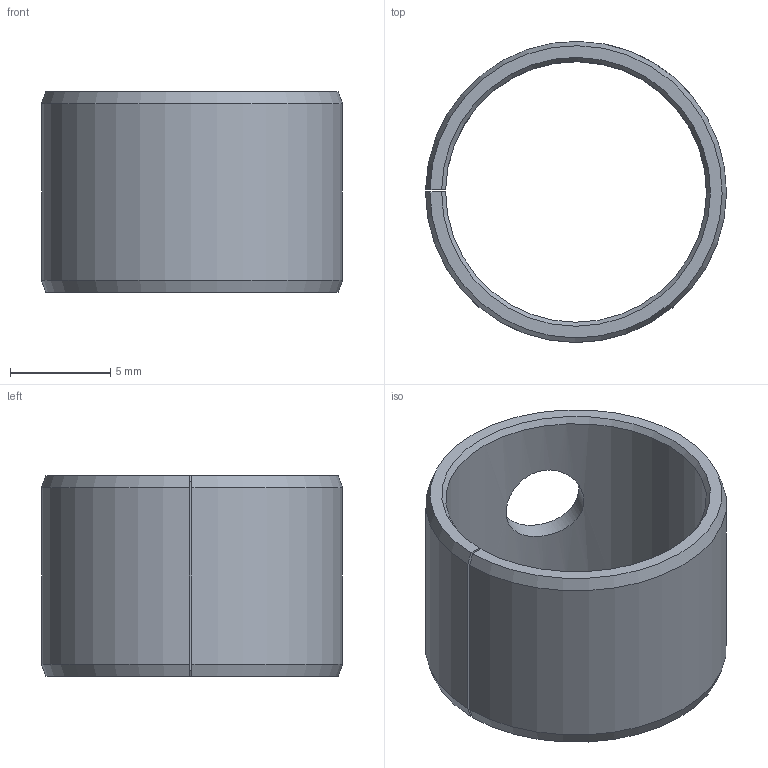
import cadquery as cq
import math

OUTER_DIAMETER = 15.0
INNER_DIAMETER = 13.0
LENGTH = 10.0
OUTER_CHAMFER_LENGTH = 0.6
OUTER_CHAMFER_ANGLE = 20.0
INNER_CHAMFER_LENGTH = 0.3
INNER_CHAMFER_DEPTH = 0.2
SPLIT_ANGLE = 1.0
OIL_HOLE_DIAMETER = 4.0
OIL_HOLE_FROM_SPLIT = 120.0

outer_radius = OUTER_DIAMETER / 2
inner_radius = INNER_DIAMETER / 2
half_length = LENGTH / 2
outer_chamfer_depth = OUTER_CHAMFER_LENGTH * math.tan(math.radians(OUTER_CHAMFER_ANGLE))

split_start_direction = 180.0
split_middle_direction = split_start_direction - SPLIT_ANGLE / 2
oil_hole_direction = split_middle_direction - OIL_HOLE_FROM_SPLIT


def make_sleeve():
    """Chamfered wall section swept about Z, stopping short of a full turn to leave the joint open."""
    wall_section = [
        (inner_radius, -half_length + INNER_CHAMFER_LENGTH),
        (inner_radius + INNER_CHAMFER_DEPTH, -half_length),
        (outer_radius - outer_chamfer_depth, -half_length),
        (outer_radius, -half_length + OUTER_CHAMFER_LENGTH),
        (outer_radius, half_length - OUTER_CHAMFER_LENGTH),
        (outer_radius - outer_chamfer_depth, half_length),
        (inner_radius + INNER_CHAMFER_DEPTH, half_length),
        (inner_radius, half_length - INNER_CHAMFER_LENGTH),
    ]
    return (
        cq.Workplane("XZ")
        .polyline(wall_section)
        .close()
        .revolve(360 - SPLIT_ANGLE, (0, 0), (0, 1))
        .rotate((0, 0, 0), (0, 0, 1), split_start_direction)
    )


def make_oil_hole():
    """Radial cylinder from the axis outwards through one wall at mid-length."""
    return (
        cq.Workplane("YZ")
        .circle(OIL_HOLE_DIAMETER / 2)
        .extrude(OUTER_DIAMETER)
        .rotate((0, 0, 0), (0, 0, 1), oil_hole_direction)
    )


result = make_sleeve().cut(make_oil_hole())